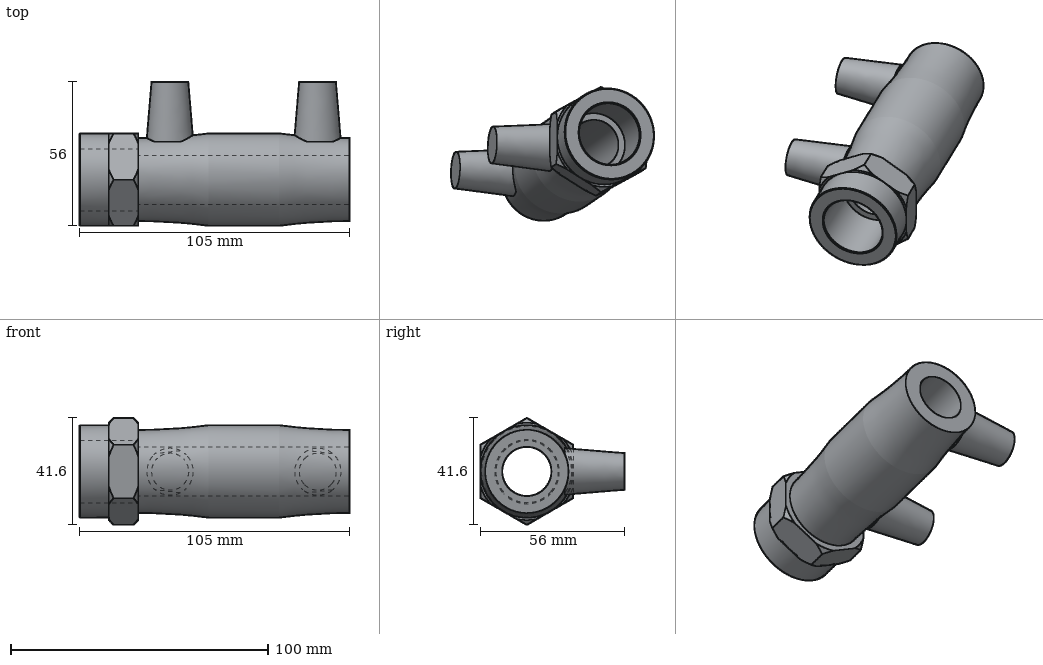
import cadquery as cq
import math

total_length = 105.0
collar_length = 11.4
nut_length = 11.4
nut_end = collar_length + nut_length
taper_length = (total_length - nut_end) / 3

body_radius = 36.0 / 2
body_end_radius = 16.2
collar_chamfer = 0.3
nut_across_flats = 2 * body_radius
nut_corner_radius = nut_across_flats / 2 / math.cos(math.pi / 6)
nut_chamfer = 1.9

through_diameter = 19.0
socket_diameter = 24.2
socket_depth = nut_end
socket_mouth_diameter = 25.0
mouth_chamfer = (socket_mouth_diameter - socket_diameter) / 2

stub_centres = (35.2, 92.5)
stub_tip_y = 56.0 - body_radius
stub_tip_diameter = 14.4
stub_root_diameter = 18.3
stub_root_y = 14.7


def taper_middle(thin_end_x, thick_end_x):
    """Middle point of the flared arc that lies parallel to the axis at its thin end."""
    rise = body_radius - body_end_radius
    arc_radius = (taper_length**2 + rise**2) / (2 * rise)
    half_angle = math.asin(taper_length / arc_radius) / 2
    direction = math.copysign(1, thick_end_x - thin_end_x)
    x = thin_end_x + direction * arc_radius * math.sin(half_angle)
    radius = body_end_radius + arc_radius * (1 - math.cos(half_angle))
    return x, radius


def make_body():
    """Revolved collar, neck under the nut, flared tapers and straight middle."""
    middle_start = nut_end + taper_length
    middle_end = middle_start + taper_length
    profile = (
        cq.Workplane("XY")
        .lineTo(0, body_radius - collar_chamfer)
        .lineTo(collar_chamfer, body_radius)
        .lineTo(collar_length, body_radius)
        .lineTo(collar_length, body_end_radius)
        .lineTo(nut_end, body_end_radius)
        .threePointArc(taper_middle(nut_end, middle_start), (middle_start, body_radius))
        .lineTo(middle_end, body_radius)
        .threePointArc(taper_middle(total_length, middle_end), (total_length, body_end_radius))
        .lineTo(total_length, 0)
        .close()
    )
    return profile.revolve(360, (0, 0, 0), (1, 0, 0))


def make_nut():
    """Hexagon with flats facing +Y and -Y, its corners turned off at 45 degrees."""
    start = cq.Workplane("YZ").workplane(offset=collar_length)
    hexagon = (
        start.transformed(rotate=(0, 0, 90))
        .polygon(6, 2 * nut_corner_radius)
        .extrude(nut_length)
    )
    envelope = start.circle(nut_corner_radius).extrude(nut_length).edges().chamfer(nut_chamfer)
    return hexagon.intersect(envelope)


def make_stub(centre_x):
    """Solid tapered stub, narrowing from inside the body wall to its tip."""
    return (
        cq.Workplane("XY")
        .moveTo(centre_x, stub_root_y)
        .lineTo(centre_x + stub_root_diameter / 2, stub_root_y)
        .lineTo(centre_x + stub_tip_diameter / 2, stub_tip_y)
        .lineTo(centre_x, stub_tip_y)
        .close()
        .revolve(360, (centre_x, 0, 0), (centre_x, 1, 0))
    )


def make_bore():
    """Through bore with a wider socket and chamfered mouth at the collar."""
    through = cq.Workplane("YZ").circle(through_diameter / 2).extrude(total_length)
    socket = cq.Workplane("YZ").circle(socket_diameter / 2).extrude(socket_depth)
    mouth = cq.Workplane(
        cq.Solid.makeCone(
            socket_mouth_diameter / 2,
            socket_diameter / 2,
            mouth_chamfer,
            cq.Vector(0, 0, 0),
            cq.Vector(1, 0, 0),
        )
    )
    return through.union(socket).union(mouth)


result = make_body().union(make_nut())
for stub_x in stub_centres:
    result = result.union(make_stub(stub_x))
result = result.cut(make_bore())